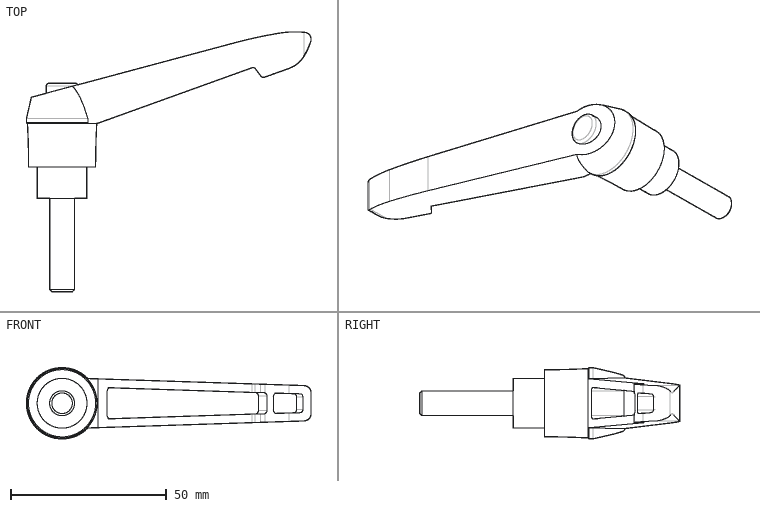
import cadquery as cq
import math


stud_radius = 4.0
stud_length = 30.0
stud_chamfer = 0.7
bush_radius = 8.0
bush_length = 10.0

hub_bottom_radius = 10.8
hub_neck_radius = 11.17
hub_neck_y = 24.0
ring_radius = 11.49
ring_bottom_y = 24.35
ring_top_y = 25.6
dome_mid = (10.03, 32.0)
dome_end = (8.2, 37.8)
button_radius = 5.1
button_top_y = 37.0
button_fillet = 0.9

top_angle = math.radians(15)
top_y_at_axis = 35.14
shoulder_start_x = 55.5
shoulder_radius = 150.0
crest_start_x = 69.5
crest_y = 53.5
tip_x = 80.01
tip_radius = 2.3
nose_end_angle = math.radians(72)
nose_mid = (77.1, 44.8)
nose_start = (72.9, 41.7)
underside_angle = math.radians(19.8)
underside_y = 24.1
underside_start_x = 11.55
notch_x = 61.65
notch_angle = math.radians(53)
notch_fillet = 0.85
heel_fillet = 1.2

half_width_at_axis = 8.25
width_taper = 0.0326
tip_corner_radius = 2.45

pocket_wall = 2.72
pocket_roof = 2.6
pocket_corner_radius = 1.1
grip_pocket_ends = (14.5, 65.8)
tip_pocket_ends = (67.9, 77.35)
tip_pocket_end_y = 45.1

shoulder_start_y = top_y_at_axis + shoulder_start_x * math.tan(top_angle)
shoulder_center_x = shoulder_start_x + shoulder_radius * math.sin(top_angle)
shoulder_center_y = shoulder_start_y - shoulder_radius * math.cos(top_angle)
crest_slope = math.asin((shoulder_center_x - crest_start_x) / shoulder_radius)
crest_start_y = shoulder_center_y + shoulder_radius * math.cos(crest_slope)

crest_radius = (crest_y - crest_start_y) / (1 - math.cos(crest_slope))
crest_center_x = crest_start_x + crest_radius * math.sin(crest_slope)
crest_center_y = crest_y - crest_radius

tip_center_x = tip_x - tip_radius
tip_offset_x = tip_center_x - crest_center_x
tip_center_y = crest_center_y + math.sqrt((crest_radius - tip_radius) ** 2 - tip_offset_x ** 2)
tip_direction = math.atan2(tip_center_y - crest_center_y, tip_offset_x)


def point_on_circle(center_x, center_y, radius, angle):
    return (center_x + radius * math.cos(angle), center_y + radius * math.sin(angle))


def half_width(x):
    return half_width_at_axis - width_taper * x


def grip_underside(x):
    """Y of the straight underside between the hub and the notch."""
    return underside_y + (x - underside_start_x) * math.tan(underside_angle)


def nose_underside(x):
    """Y of the straight underside between the notch and the nose curve."""
    return nose_start[1] + (x - nose_start[0]) * math.tan(underside_angle)


notch_y = grip_underside(notch_x)
notch_drop = notch_y - nose_underside(notch_x)
heel_x = notch_x + notch_drop / (math.tan(notch_angle) + math.tan(underside_angle))
heel_y = nose_underside(heel_x)


def make_hub():
    dome_start = (ring_radius, ring_top_y)
    hub_height = hub_neck_y - bush_length
    bulge = hub_neck_radius - hub_bottom_radius
    flare_radius = (hub_height ** 2 + bulge ** 2) / (2 * bulge)
    half_height = hub_height / 2
    flare_mid_bulge = flare_radius - math.sqrt(flare_radius ** 2 - half_height ** 2)
    flare_mid = (hub_bottom_radius + flare_mid_bulge, bush_length + half_height)
    profile = (
        cq.Workplane("XY")
        .moveTo(0, -stud_length)
        .lineTo(stud_radius - stud_chamfer, -stud_length)
        .lineTo(stud_radius, -stud_length + stud_chamfer)
        .lineTo(stud_radius, 0)
        .lineTo(bush_radius, 0)
        .lineTo(bush_radius, bush_length)
        .lineTo(hub_bottom_radius, bush_length)
        .threePointArc(flare_mid, (hub_neck_radius, hub_neck_y))
        .lineTo(ring_radius, ring_bottom_y)
        .lineTo(*dome_start)
        .threePointArc(dome_mid, dome_end)
        .lineTo(0, dome_end[1])
        .close()
    )
    hub = profile.revolve(360, (0, 0, 0), (0, 1, 0))

    reach = 2 * ring_radius
    slope_rise = reach * math.tan(top_angle)
    above_slope = (
        cq.Workplane("XY")
        .moveTo(-reach, top_y_at_axis - slope_rise)
        .lineTo(reach, top_y_at_axis + slope_rise)
        .lineTo(-reach, top_y_at_axis + slope_rise)
        .close()
        .extrude(reach, both=True)
    )
    return hub.cut(above_slope)


def make_button():
    """Round boss standing out of the sloping top of the hub."""
    button = (
        cq.Workplane("XZ", origin=(0, ring_top_y, 0))
        .circle(button_radius)
        .extrude(ring_top_y - button_top_y)
    )
    return button.faces(">Y").edges().fillet(button_fillet)


def make_arm():
    shoulder_mid_angle = math.pi / 2 + (top_angle + crest_slope) / 2
    shoulder_mid = point_on_circle(
        shoulder_center_x, shoulder_center_y, shoulder_radius, shoulder_mid_angle
    )
    crest_mid_angle = (math.pi / 2 + crest_slope + tip_direction) / 2
    crest_mid = point_on_circle(crest_center_x, crest_center_y, crest_radius, crest_mid_angle)
    crest_end = point_on_circle(crest_center_x, crest_center_y, crest_radius, tip_direction)
    tip_end_angle = nose_end_angle - math.pi / 2
    tip_end = point_on_circle(tip_center_x, tip_center_y, tip_radius, tip_end_angle)
    nose_tangents = [
        (-math.cos(nose_end_angle), -math.sin(nose_end_angle)),
        (-math.cos(underside_angle), -math.sin(underside_angle)),
    ]
    side = (
        cq.Workplane("XY", origin=(0, 0, -half_width_at_axis))
        .moveTo(0, underside_y)
        .lineTo(0, top_y_at_axis)
        .lineTo(shoulder_start_x, shoulder_start_y)
        .threePointArc(shoulder_mid, (crest_start_x, crest_start_y))
        .threePointArc(crest_mid, crest_end)
        .threePointArc((tip_x, tip_center_y), tip_end)
        .spline([nose_mid, nose_start], tangents=nose_tangents, includeCurrent=True)
        .lineTo(heel_x, heel_y)
        .lineTo(notch_x, notch_y)
        .lineTo(underside_start_x, underside_y)
        .close()
        .extrude(2 * half_width_at_axis)
    )
    for corner, radius in [((heel_x, heel_y, 0), heel_fillet), ((notch_x, notch_y, 0), notch_fillet)]:
        side = side.edges("|Z").edges(cq.NearestToPointSelector(corner)).fillet(radius)

    plan = (
        cq.Workplane("XZ")
        .moveTo(0, -half_width(0))
        .lineTo(tip_x, -half_width(tip_x))
        .lineTo(tip_x, half_width(tip_x))
        .lineTo(0, half_width(0))
        .close()
        .extrude(-crest_y)
        .edges("|Y and >X")
        .fillet(tip_corner_radius)
    )
    return side.intersect(plan)


def make_pocket(mouth_start, mouth_end):
    """Tapered pocket between two (x, y) points on the underside, up to the roof of the arm."""
    along = (math.cos(top_angle), math.sin(top_angle))

    def distance_along(point):
        return point[0] * along[0] + point[1] * along[1]

    start = distance_along(mouth_start)
    end = distance_along(mouth_end)
    start_half = half_width(mouth_start[0]) - pocket_wall
    end_half = half_width(mouth_end[0]) - pocket_wall
    roof_height = top_y_at_axis * math.cos(top_angle) - pocket_roof
    square_to_top = cq.Plane(
        origin=(0, 0, 0), xDir=(along[0], along[1], 0), normal=(-along[1], along[0], 0)
    )
    return (
        cq.Workplane(square_to_top)
        .moveTo(start, -start_half)
        .lineTo(end, -end_half)
        .lineTo(end, end_half)
        .lineTo(start, start_half)
        .close()
        .extrude(roof_height)
        .edges(cq.ParallelDirSelector(square_to_top.zDir))
        .fillet(pocket_corner_radius)
    )


grip_start, grip_end = grip_pocket_ends
tip_start, tip_end = tip_pocket_ends
grip_pocket = make_pocket((grip_start, grip_underside(grip_start)), (grip_end, nose_underside(grip_end)))
tip_pocket = make_pocket((tip_start, nose_underside(tip_start)), (tip_end, tip_pocket_end_y))
arm = make_arm().cut(grip_pocket).cut(tip_pocket)

result = make_hub().union(arm).union(make_button())